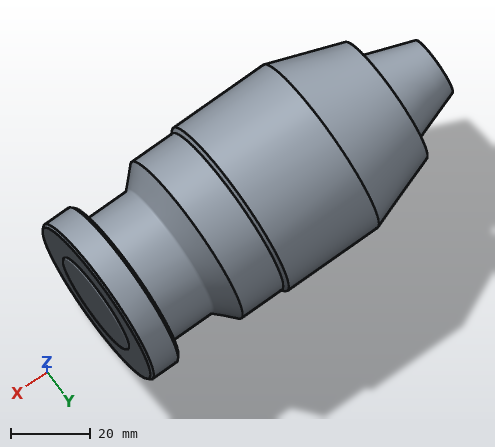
import cadquery as cq
import math

nose_tip_diameter = 16.2
nose_base_diameter = 26.5
taper_start_diameter = 35.8
body_diameter = 50.0
rear_body_diameter = 48.0
neck_diameter = 37.5
flange_diameter = 47.4
end_boss_diameter = 28.0

overall_length = 105.3
nose_length = 15.0
taper_length = 20.3
body_end = 64.2
rear_body_end = 76.9
flange_start = 96.0
end_boss_height = 0.5

body_chamfer = (body_diameter - rear_body_diameter) / 2
shoulder_angle = 45.0
shoulder_fillet = 1.0
neck_end_fillet = 1.5
flange_chamfer = 0.6
end_boss_fillet = 0.4

taper_end = nose_length + taper_length
flange_end = overall_length - end_boss_height
shoulder_drop = (rear_body_diameter - neck_diameter) / 2
shoulder_end = rear_body_end + shoulder_drop / math.tan(math.radians(shoulder_angle))


def disc(diameter, start, end):
    """Cylinder on the X axis between two positions."""
    return cq.Workplane("YZ", origin=(start, 0, 0)).circle(diameter / 2).extrude(end - start)


def make_front_body():
    """Nose cone, main taper, body and neck, revolved from one half outline."""
    neck_radius = neck_diameter / 2

    tangent_length = shoulder_fillet * math.tan(math.radians(shoulder_angle / 2))
    fillet_center_x = shoulder_end + tangent_length
    fillet_center_r = neck_radius + shoulder_fillet

    def shoulder_fillet_point(angle):
        """Fillet point at an angle in degrees measured back from the neck tangent point."""
        turn = math.radians(angle)
        return (
            fillet_center_x - shoulder_fillet * math.sin(turn),
            fillet_center_r - shoulder_fillet * math.cos(turn),
        )

    outline = (
        cq.Workplane("XY")
        .lineTo(0, nose_tip_diameter / 2)
        .lineTo(nose_length, nose_base_diameter / 2)
        .lineTo(nose_length, taper_start_diameter / 2)
        .lineTo(taper_end, body_diameter / 2)
        .lineTo(body_end - body_chamfer, body_diameter / 2)
        .lineTo(body_end, rear_body_diameter / 2)
        .lineTo(rear_body_end, rear_body_diameter / 2)
        .lineTo(*shoulder_fillet_point(shoulder_angle))
        .threePointArc(shoulder_fillet_point(shoulder_angle / 2), shoulder_fillet_point(0))
        .lineTo(flange_start, neck_radius)
        .lineTo(flange_start, 0)
        .close()
    )
    body = outline.revolve(360, (0, 0, 0), (1, 0, 0))
    return body.faces(">X").edges().fillet(neck_end_fillet)


def make_flange():
    """Flange disc with both rims chamfered."""
    return disc(flange_diameter, flange_start, flange_end).faces("<X or >X").edges().chamfer(flange_chamfer)


def make_end_boss():
    """Low round boss on the outer flange face."""
    return disc(end_boss_diameter, flange_end, overall_length).faces(">X").edges().fillet(end_boss_fillet)


result = make_front_body().union(make_flange()).union(make_end_boss())